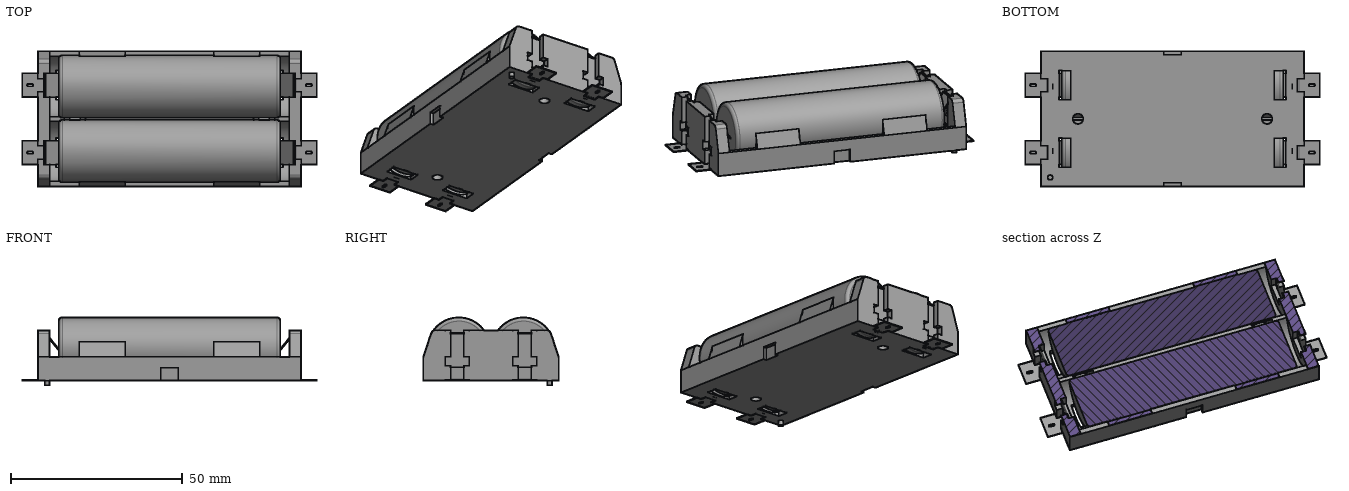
import cadquery as cq
import math


cell_diameter = 18.3
cell_length = 64.9
cell_spacing = 18.9
cell_edge_radius = 1.0
cell_axis_z = 9.4

housing_length = 77.0
housing_width = 39.6
wall_height = 7.0
end_plate_thickness = 3.45
end_plate_height = 14.7
end_plate_top_width = 34.45
end_plate_corner_radius = 1.3

tab_inner_x = 13.0
tab_outer_x = 26.4
tab_blank_height = 12.1

notch_width = 5.0
notch_height = 3.8
notch_depth = 1.1

screw_hole_x = 27.65
screw_hole_diameter = 3.0
counterbore_diameter = 6.2
counterbore_floor_z = 2.6

pin_diameter = 1.5
pin_length = 1.4
pin_x = -35.75
pin_y = 17.1

overall_length = 86.1
contact_spacing = 19.7
contact_thickness = 0.3
contact_width = 7.1
neck_width = 3.9
neck_top_z = 3.9
contact_face_x = 36.7
contact_top_z = 13.95
contact_fold_width = 0.5
spring_tip_z = 9.3
foot_bend_radius = 0.3
solder_slot_x = 40.75
solder_slot_length = 1.7
solder_slot_width = 0.6

window_bottom_z = 4.4
window_top_z = 7.0
floor_hole_outer_x = 33.2
floor_hole_length = 3.45
floor_hole_width = 8.4

half_length = housing_length / 2
half_width = housing_width / 2
cell_end_x = cell_length / 2
cell_radius = cell_diameter / 2
cavity_length = housing_length - 2 * end_plate_thickness
cavity_end_x = cavity_length / 2
contact_back_x = contact_face_x - contact_thickness
cell_ys = (-cell_spacing / 2, cell_spacing / 2)
contact_ys = (-contact_spacing / 2, contact_spacing / 2)
ends = (-1, 1)
sides = (-1, 1)


def block(x_range, y_range, z_range):
    """Box between two X, two Y and two Z values, each pair in either order."""
    x0, x1 = sorted(x_range)
    y0, y1 = sorted(y_range)
    z0, z1 = sorted(z_range)
    return cq.Workplane("XY").box(x1 - x0, y1 - y0, z1 - z0, centered=False).translate((x0, y0, z0))


def centred_block(x_range, y, width, z_range):
    """Box of the given Y width about y."""
    return block(x_range, (y - width / 2, y + width / 2), z_range)


def cylinder_along_x(diameter, length, y):
    """Cylinder on a cell axis, centred on X = 0."""
    return (
        cq.Workplane("YZ", origin=(-length / 2, y, cell_axis_z))
        .circle(diameter / 2)
        .extrude(length)
    )


def make_cell(y):
    """Plain cylinder with rounded end edges."""
    cylinder = cylinder_along_x(cell_diameter, cell_length, y)
    return cylinder.faces("<X or >X").edges().fillet(cell_edge_radius)


def cross_section_bar(x_start, x_end):
    """Length of the end plate outline: upright walls, then sloping shoulders with round corners."""
    half_top = end_plate_top_width / 2
    return (
        cq.Workplane("YZ", origin=(x_start, 0, 0))
        .polyline([
            (-half_width, 0),
            (half_width, 0),
            (half_width, wall_height),
            (half_top, end_plate_height),
            (-half_top, end_plate_height),
            (-half_width, wall_height),
        ])
        .close()
        .extrude(x_end - x_start)
        .faces(">Z")
        .edges("|X")
        .fillet(end_plate_corner_radius)
    )


def make_tabs():
    """Four tabs that follow the shoulder slope above the side walls."""
    tabs = cq.Workplane("XY")
    for x_start, x_end in ((-tab_outer_x, -tab_inner_x), (tab_inner_x, tab_outer_x)):
        bar = cross_section_bar(x_start, x_end)
        for side in sides:
            side_region = block(
                (x_start, x_end),
                (side * cell_spacing / 2, side * half_width),
                (cell_axis_z - cell_radius, tab_blank_height),
            )
            tabs = tabs.add(bar.intersect(side_region))
    return tabs


def cut_contact_seat(housing, end, y):
    """Slot, window and inner pocket in one end plate, and the floor hole near the spring."""
    outer_x = end * half_length
    slot_depth = (outer_x, end * contact_back_x)
    slot = centred_block(slot_depth, y, neck_width, (0, end_plate_height))
    window = centred_block(slot_depth, y, contact_width, (window_bottom_z, window_top_z))
    pocket = centred_block(
        (end * contact_face_x, end * cavity_end_x), y, contact_width, (neck_top_z, end_plate_height)
    )
    floor_hole = centred_block(
        (end * floor_hole_outer_x, end * (floor_hole_outer_x - floor_hole_length)),
        y,
        floor_hole_width,
        (0, cell_axis_z),
    )
    return housing.cut(slot).cut(window).cut(pocket).cut(floor_hole)


def cut_screw_hole(housing, x):
    """Through hole with a flat counterbore in the ridge between the cells."""
    through = cq.Workplane("XY").center(x, 0).circle(screw_hole_diameter / 2).extrude(wall_height)
    counterbore = (
        cq.Workplane("XY", origin=(x, 0, counterbore_floor_z))
        .circle(counterbore_diameter / 2)
        .extrude(wall_height - counterbore_floor_z)
    )
    return housing.cut(through).cut(counterbore)


def cut_side_notch(housing, side):
    """Shallow notch at the foot of one side wall."""
    notch = block(
        (-notch_width / 2, notch_width / 2),
        (side * (half_width - notch_depth), side * half_width),
        (0, notch_height),
    )
    return housing.cut(notch)


def make_housing():
    """Cradled tray with two end plates, tabs, contact seats, screw holes and a pin."""
    housing = block((-half_length, half_length), (-half_width, half_width), (0, wall_height))
    for tab in make_tabs().vals():
        housing = housing.union(cq.Workplane(tab))
    for y in cell_ys:
        housing = housing.cut(cylinder_along_x(cell_diameter, cavity_length, y))
    housing = housing.union(cross_section_bar(-half_length, -cavity_end_x))
    housing = housing.union(cross_section_bar(cavity_end_x, half_length))
    for end in ends:
        housing = cut_screw_hole(housing, end * screw_hole_x)
        for y in contact_ys:
            housing = cut_contact_seat(housing, end, y)
    for side in sides:
        housing = cut_side_notch(housing, side)
    pin = (
        cq.Workplane("XY", origin=(pin_x, pin_y, -pin_length))
        .circle(pin_diameter / 2)
        .extrude(pin_length + wall_height / 2)
    )
    return housing.union(pin)


def make_contact_at_plus_x(y):
    """Bent strip: solder pad, narrow neck, wide plate and a spring blade that meets the cell end."""
    fold_x = contact_face_x - contact_fold_width
    blade_angle = math.atan2(contact_top_z - spring_tip_z, fold_x - cell_end_x)
    blade_drop = contact_thickness / math.cos(blade_angle)
    inside_top_z = contact_top_z - contact_thickness
    inside_fold_x = fold_x + (blade_drop - contact_thickness) / math.tan(blade_angle)
    strip = (
        cq.Workplane("XZ", origin=(0, y + contact_width / 2, 0))
        .polyline([
            (overall_length / 2, 0),
            (overall_length / 2, contact_thickness),
            (contact_face_x, contact_thickness),
            (contact_face_x, contact_top_z),
            (fold_x, contact_top_z),
            (cell_end_x, spring_tip_z),
            (cell_end_x, spring_tip_z - blade_drop),
            (inside_fold_x, inside_top_z),
            (contact_back_x, inside_top_z),
            (contact_back_x, 0),
        ])
        .close()
        .extrude(contact_width)
    )
    for side in sides:
        beside_neck = block(
            (contact_back_x, half_length),
            (y + side * neck_width / 2, y + side * contact_width / 2),
            (0, neck_top_z),
        )
        strip = strip.cut(beside_neck)
    foot_bend = cq.selectors.NearestToPointSelector((contact_face_x, y, contact_thickness))
    solder_slot = (
        cq.Workplane("XY")
        .center(solder_slot_x, y)
        .slot2D(solder_slot_length, solder_slot_width)
        .extrude(contact_thickness)
    )
    return strip.edges(foot_bend).fillet(foot_bend_radius).cut(solder_slot)


def make_contact(end, y):
    """Contact at the -X end (end = -1) or the +X end (end = 1)."""
    contact = make_contact_at_plus_x(y)
    if end < 0:
        contact = contact.mirror("YZ")
    return contact


housing = make_housing()
cells = [make_cell(y) for y in cell_ys]
contacts = [make_contact(end, y) for end in ends for y in contact_ys]

result = cq.Compound.makeCompound([
    housing.val(),
    *[cell.val() for cell in cells],
    *[contact.val() for contact in contacts],
])